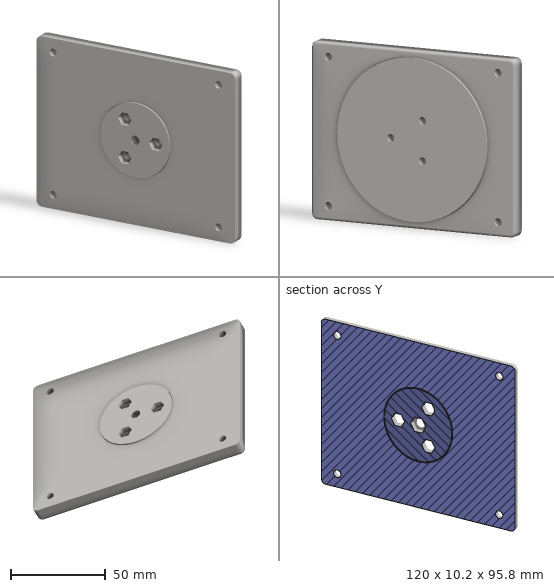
import cadquery as cq
import math

PLATE_WIDTH = 120.0
PLATE_HEIGHT = 95.8
PLATE_THICKNESS = 8.0
OVERALL_DEPTH = 10.2
CORNER_RADIUS = 3.0
BACK_EDGE_RADIUS = 1.5

CORNER_HOLE_DIAMETER = 4.2
CORNER_HOLE_SPACING_X = 100.0
CORNER_HOLE_SPACING_Z = 80.0

FRONT_DISC_DIAMETER = 41.8
BORE_DIAMETER = 42.2
FRONT_DISC_PROTRUSION = 0.7

BACK_DISC_DIAMETER = 88.0
BACK_RECESS_DIAMETER = 88.5
BACK_RECESS_DEPTH = 2.4

SCREW_COUNT = 3
SCREW_CIRCLE_RADIUS = 12.5
SCREW_HOLE_DIAMETER = 4.1
SCREW_NUT_ACROSS_CORNERS = 7.9
SCREW_NUT_POCKET_DEPTH = 3.5

CENTER_HOLE_DIAMETER = 5.2
CENTER_NUT_ACROSS_CORNERS = 9.2
CENTER_LIP_THICKNESS = 0.3

PLATE_FRONT = 0.0
PLATE_BACK = PLATE_FRONT + PLATE_THICKNESS
DISC_JOINT = PLATE_BACK - BACK_RECESS_DEPTH
FRONT_DISC_FACE = PLATE_FRONT - FRONT_DISC_PROTRUSION
BACK_DISC_FACE = FRONT_DISC_FACE + OVERALL_DEPTH

HEXAGON_SIDES = 6
CENTER_POINT = [(0, 0)]


def plane_at(y):
    """Sketch plane facing +Y, with local x along X and local y along -Z."""
    return cq.Workplane(cq.Plane(origin=(0, y, 0), xDir=(1, 0, 0), normal=(0, 1, 0)))


def cylinder(diameter, start, end, points=CENTER_POINT):
    return plane_at(start).pushPoints(points).circle(diameter / 2).extrude(end - start)


def hexagonal_prism(across_corners, start, end, points=CENTER_POINT):
    return plane_at(start).pushPoints(points).polygon(HEXAGON_SIDES, across_corners).extrude(end - start)


def screw_points():
    angles = [2 * math.pi * i / SCREW_COUNT for i in range(SCREW_COUNT)]
    return [(SCREW_CIRCLE_RADIUS * math.cos(a), SCREW_CIRCLE_RADIUS * math.sin(a)) for a in angles]


def make_plate():
    """Rounded plate whose stepped bore houses both discs with a small running clearance."""
    plate = plane_at(PLATE_FRONT).rect(PLATE_WIDTH, PLATE_HEIGHT).extrude(PLATE_THICKNESS)
    plate = plate.edges("|Y").fillet(CORNER_RADIUS)
    plate = plate.faces(">Y").edges().fillet(BACK_EDGE_RADIUS)
    plate = plate.cut(cylinder(BORE_DIAMETER, PLATE_FRONT, PLATE_BACK))
    plate = plate.cut(cylinder(BACK_RECESS_DIAMETER, DISC_JOINT, PLATE_BACK))
    corner_holes = (
        plane_at(PLATE_FRONT)
        .rect(CORNER_HOLE_SPACING_X, CORNER_HOLE_SPACING_Z, forConstruction=True)
        .vertices()
        .circle(CORNER_HOLE_DIAMETER / 2)
        .extrude(PLATE_THICKNESS)
    )
    return plate.cut(corner_holes)


def make_front_disc():
    """Small disc with hexagonal nut pockets for the clamping screws."""
    disc = cylinder(FRONT_DISC_DIAMETER, FRONT_DISC_FACE, DISC_JOINT)
    disc = disc.cut(cylinder(SCREW_HOLE_DIAMETER, FRONT_DISC_FACE, DISC_JOINT, screw_points()))
    disc = disc.cut(
        hexagonal_prism(
            SCREW_NUT_ACROSS_CORNERS, FRONT_DISC_FACE, FRONT_DISC_FACE + SCREW_NUT_POCKET_DEPTH, screw_points()
        )
    )
    disc = disc.cut(hexagonal_prism(CENTER_NUT_ACROSS_CORNERS, FRONT_DISC_FACE + CENTER_LIP_THICKNESS, DISC_JOINT))
    return disc.cut(cylinder(CENTER_HOLE_DIAMETER, FRONT_DISC_FACE, DISC_JOINT))


def make_back_disc():
    """Large disc seated in the back recess, screwed to the front disc."""
    disc = cylinder(BACK_DISC_DIAMETER, DISC_JOINT, BACK_DISC_FACE)
    return disc.cut(cylinder(SCREW_HOLE_DIAMETER, DISC_JOINT, BACK_DISC_FACE, screw_points()))


plate = make_plate()
front_disc = make_front_disc()
back_disc = make_back_disc()

result = cq.Compound.makeCompound([plate.val(), front_disc.val(), back_disc.val()])